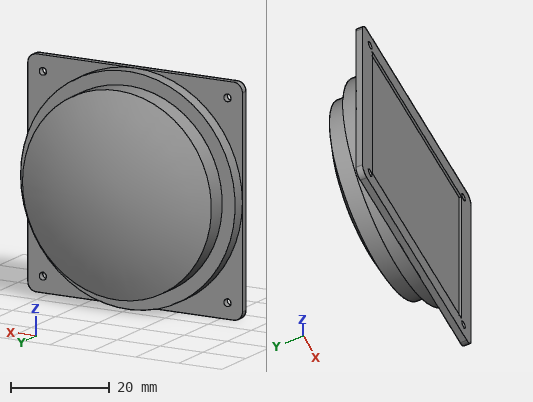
import cadquery as cq

plate_side = 50.0
plate_thickness = 1.5
corner_radius = 2.0
hole_diameter = 1.6
hole_edge_distance = 3.5

recess_side = 41.0
recess_depth = 0.5

flange_diameter = plate_side
flange_thickness = 3.0
barrel_diameter = 44.0
barrel_length = 4.5
dome_height = 4.4

flange_start = plate_thickness
flange_end = flange_start + flange_thickness
barrel_end = flange_end + barrel_length
dome_peak = barrel_end + dome_height


def front_plane():
    """Workplane on the front face, with its normal pointing along +Y."""
    return cq.Workplane("XZ").transformed(rotate=(180, 0, 0))


def make_plate():
    hole_spacing = plate_side - 2 * hole_edge_distance
    return (
        front_plane()
        .rect(plate_side, plate_side)
        .extrude(plate_thickness)
        .edges("|Y")
        .fillet(corner_radius)
        .cut(
            front_plane()
            .rect(hole_spacing, hole_spacing, forConstruction=True)
            .vertices()
            .circle(hole_diameter / 2)
            .extrude(plate_thickness)
        )
    )


def make_round_body():
    """Revolve the flange, barrel and dome half-profile about the Y axis."""
    barrel_radius = barrel_diameter / 2
    flange_radius = flange_diameter / 2
    sphere_radius = (barrel_radius**2 + dome_height**2) / (2 * dome_height)
    sphere_center = dome_peak - sphere_radius
    arc_x = barrel_radius / 2
    arc_y = sphere_center + (sphere_radius**2 - arc_x**2) ** 0.5
    return (
        cq.Workplane("XY")
        .moveTo(0, flange_start)
        .lineTo(flange_radius, flange_start)
        .lineTo(flange_radius, flange_end)
        .lineTo(barrel_radius, flange_end)
        .lineTo(barrel_radius, barrel_end)
        .threePointArc((arc_x, arc_y), (0, dome_peak))
        .close()
        .revolve(360, (0, 0, 0), (0, 1, 0))
    )


recess = front_plane().rect(recess_side, recess_side).extrude(recess_depth)
result = make_plate().union(make_round_body()).cut(recess)